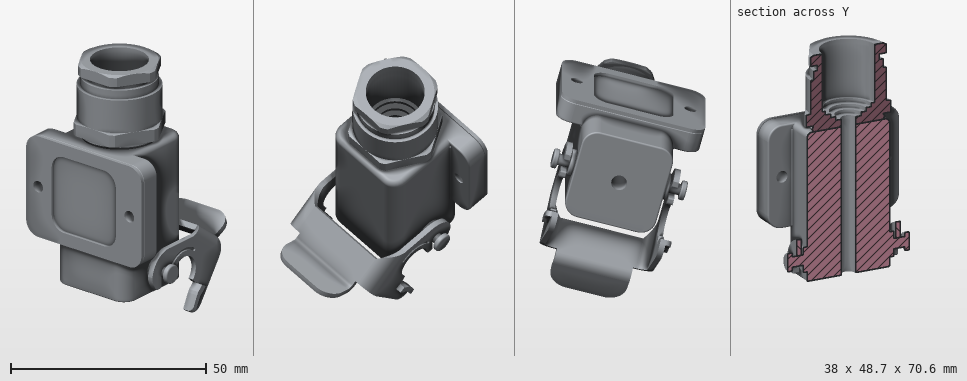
import cadquery as cq
import math


hood_side = 24.0
hood_height = 40.6
corner_radius = 4.0
hood_top_fillet = 1.5
small_fillet = 0.4
cable_bore = 4.0

flange_width = 38.0
flange_height = 28.15
flange_front_y = -8.0
flange_back_y = -13.5
flange_back_chamfer = 0.2
flange_mid_z = hood_height - flange_height / 2
mounting_hole_x = 15.0
mounting_hole = 3.2

gasket_thickness = 1.0
gasket_window = 21.2

pivot_z = 6.1
stud_collar_diameter = 7.0
stud_collar_end = 13.2
stud_neck_diameter = 2.95
stud_head_diameter = 5.1
stud_head_thickness = 1.5
stud_end = 17.65

gland_ring_radius = 10.6
gland_ring_edge_radius = 10.15
body_hex_z = 42.05
sleeve_z = 45.6
collar_z = 54.7
neck_z = 57.1
nut_z = 58.4
gland_top_z = 61.4
body_hex_flats = 22.0
body_hex_corners = 24.55
body_hex_chamfer_height = 0.2
nut_flats = 20.05
nut_corners = 22.0
nut_chamfer_height = 0.5
collar_diameter = 20.2
neck_diameter = 18.05
gland_bore = 15.1
seal_step_diameters = (13.1, 10.1, 7.2)
seal_step_depth = 1.0

sheet = 1.5
lever_width = 30.05
bend_radius = corner_radius
bridge_tilt = 37.0
bridge_back = (24.35, 7.2)
bridge_length = 8.0
bend_edge_rise = 5.4
lever_top_z = 12.15
nose_start_y = 1.5
nose_radius = 5.1
nose_low_angle = 200.0
hook_bottom_z = 2.1
catch_center = (8.0, 3.1)
catch_radius = 4.5
catch_entry_angle = -42.0
hook_corner = 0.85
groove_radius = 6.5
groove_width = 0.8
groove_depth = 0.5
groove_start_angle = 38.0
groove_end_angle = 127.0
grip_width = 20.2
grip_tilt = 24.6
grip_valley_length = 2.1
grip_length = 8.25
grip_bend_radius = 1.5
grip_corner = 5.0
lug_reach = 1.55
lug_corner = 1.5


def cylinder(diameter, z_from, z_to):
    """Upright cylinder on the cable axis."""
    return cq.Workplane("XY").workplane(offset=z_from).circle(diameter / 2).extrude(z_to - z_from)


def rounded_plate(width, height, radius, y_from, y_to):
    """Plate across Y with rounded corners, centred on the flange."""
    return (
        cq.Workplane("XZ", origin=(0, y_from, flange_mid_z))
        .rect(width, height)
        .extrude(y_from - y_to)
        .edges("|Y")
        .fillet(radius)
    )


def mounting_holes(y_from, y_to):
    """Cutter for the two screw holes of the flange."""
    return (
        cq.Workplane("XZ", origin=(0, y_from, flange_mid_z))
        .pushPoints([(-mounting_hole_x, 0), (mounting_hole_x, 0)])
        .circle(mounting_hole / 2)
        .extrude(y_from - y_to)
    )


def make_stud(side):
    """Collar, neck and head of one lever stud; side is -1 or 1."""
    head_start = stud_end - stud_head_thickness

    def disc(diameter, x_from, x_to):
        return (
            cq.Workplane("YZ", origin=(side * x_from, 0, pivot_z))
            .circle(diameter / 2)
            .extrude(side * (x_to - x_from))
        )

    wall = hood_side / 2
    outer_face = ">X" if side > 0 else "<X"
    collar = disc(stud_collar_diameter, wall, stud_collar_end).faces(outer_face).edges().fillet(small_fillet)
    neck = disc(stud_neck_diameter, wall, head_start)
    head = disc(stud_head_diameter, head_start, stud_end).edges().fillet(small_fillet)
    return collar.union(neck).union(head)


def make_inner_fillet(side):
    """Concave fillet strip between the hood wall and the flange front."""
    bottom = hood_height - flange_height + small_fillet
    wall = side * hood_side / 2
    return (
        cq.Workplane("XY", origin=(wall, flange_front_y, bottom))
        .moveTo(side * small_fillet, 0)
        .radiusArc((0, small_fillet), -side * small_fillet)
        .lineTo(-side * small_fillet, small_fillet)
        .lineTo(-side * small_fillet, -small_fillet)
        .lineTo(side * small_fillet, -small_fillet)
        .close()
        .extrude(hood_height - hood_top_fillet - bottom)
    )


def make_hood():
    shell = (
        cq.Workplane("XY")
        .rect(hood_side, hood_side)
        .extrude(hood_height)
        .edges("|Z")
        .fillet(corner_radius)
        .faces("<Z")
        .edges()
        .fillet(small_fillet)
        .faces(">Z")
        .edges()
        .fillet(hood_top_fillet)
    )
    flange = rounded_plate(flange_width, flange_height, corner_radius, flange_front_y, flange_back_y)
    flange = flange.faces(">Y").edges().fillet(small_fillet)
    flange = flange.faces("<Y").edges().chamfer(flange_back_chamfer)
    hood = shell.union(flange)
    hood = hood.cut(mounting_holes(flange_front_y, flange_back_y))
    for side in (-1, 1):
        hood = hood.union(make_inner_fillet(side)).union(make_stud(side))
    return hood.cut(cylinder(cable_bore, 0, hood_height))


def make_gasket():
    back_y = flange_back_y - gasket_thickness
    gasket = rounded_plate(flange_width, flange_height, corner_radius, flange_back_y, back_y)
    window = rounded_plate(gasket_window, gasket_window, corner_radius, flange_back_y, back_y)
    return gasket.cut(window).cut(mounting_holes(flange_back_y, back_y))


def make_hex(flats, corners, z_from, z_to, chamfer_height):
    """Hexagon with turned corners and a conical top chamfer that meets the flats."""
    height = z_to - z_from
    prism = (
        cq.Workplane("XY")
        .workplane(offset=z_from)
        .polygon(6, flats, circumscribed=True)
        .extrude(height)
        .rotate((0, 0, 0), (0, 0, 1), 30)
    )
    turned = (
        cq.Workplane("XZ")
        .moveTo(0, z_from)
        .lineTo(corners / 2, z_from)
        .lineTo(corners / 2, z_to - chamfer_height)
        .lineTo(flats / 2, z_to)
        .lineTo(0, z_to)
        .close()
        .revolve(360, (0, 0, 0), (0, 1, 0))
    )
    return prism.intersect(turned)


def make_gland():
    ring = (
        cq.Workplane("XZ")
        .moveTo(0, hood_height)
        .lineTo(gland_ring_edge_radius, hood_height)
        .lineTo(gland_ring_radius, (hood_height + body_hex_z) / 2)
        .lineTo(gland_ring_edge_radius, body_hex_z)
        .lineTo(0, body_hex_z)
        .close()
        .revolve(360, (0, 0, 0), (0, 1, 0))
    )
    gland = (
        ring.union(make_hex(body_hex_flats, body_hex_corners, body_hex_z, sleeve_z, body_hex_chamfer_height))
        .union(cylinder(body_hex_flats, sleeve_z, collar_z))
        .union(cylinder(collar_diameter, collar_z, neck_z))
        .union(cylinder(neck_diameter, neck_z, nut_z))
        .union(make_hex(nut_flats, nut_corners, nut_z, gland_top_z, nut_chamfer_height))
        .cut(cylinder(cable_bore, hood_height, gland_top_z))
        .cut(cylinder(gland_bore, sleeve_z, gland_top_z))
    )
    for step, diameter in enumerate(seal_step_diameters, start=1):
        gland = gland.cut(cylinder(diameter, sleeve_z - step * seal_step_depth, sleeve_z))
    return gland


tilt = math.radians(bridge_tilt)
bridge_along = (-math.cos(tilt), math.sin(tilt))
bridge_out = (math.sin(tilt), math.cos(tilt))


def bridge_point(along, depth):
    """(Y, Z) of a point that far along the bridge and below its upper face."""
    return tuple(
        bridge_back[i] + along * bridge_along[i] - depth * bridge_out[i] for i in range(2)
    )


def bridge_plane(along):
    """Plane across the bridge: local x is X, local y points out of the upper face."""
    return cq.Plane(
        origin=(0, *bridge_point(along, 0)), xDir=(1, 0, 0), normal=(0, *bridge_along)
    )


def make_channel():
    """Bent sheet of U section, longer and deeper than the lever needs."""
    reach = 42.35
    start = -7.05

    def bar(width, top, radius):
        return (
            cq.Workplane(bridge_plane(start))
            .center(0, top - reach / 2)
            .rect(width, reach)
            .extrude(reach)
            .edges(cq.selectors.ParallelDirSelector(cq.Vector(0, *bridge_along)))
            .fillet(radius)
        )

    outer = bar(lever_width, 0, bend_radius)
    inner = bar(lever_width - 2 * sheet, -sheet, bend_radius - sheet)
    return outer.cut(inner)


cheek_back_corner = (21.9, 2.7)
foot_start = (14.55, -7.75)
foot_bottom = (12.0, -9.2)
catch_step = (12.15, -0.85)
nose_crown = (-2.25, 10.9)

lug_tip_inner = (10.2, -8.7)
lug_tip_outer = (9.1, -7.8)
lug_edge = [(11.1, -3.8), (11.6, -3.0), (12.55, -2.1), (13.1, -1.55)]
lug_back = [(14.55, -2.4), (13.35, -3.7), (12.5, -4.2), (12.1, -4.95)]


def make_cheek_outline():
    """Side outline of the lever, extruded across its whole width."""
    pivot_reach = math.sqrt(nose_radius**2 - (pivot_z - hook_bottom_z) ** 2)
    nose_low = math.radians(nose_low_angle)
    catch_entry = math.radians(catch_entry_angle)
    catch_end_y = catch_center[0] - catch_radius
    catch_start = (
        catch_center[0] + catch_radius * math.cos(catch_entry),
        catch_center[1] + catch_radius * math.sin(catch_entry),
    )
    outline = (
        cq.Workplane("YZ", origin=(-lever_width / 2, 0, 0))
        .moveTo(*bridge_back)
        .lineTo(*cheek_back_corner)
        .lineTo(*foot_start)
        .threePointArc(foot_bottom, lug_tip_inner)
        .lineTo(*lug_tip_outer)
    )
    for point in lug_edge:
        outline = outline.lineTo(*point)
    return (
        outline.lineTo(*catch_step)
        .lineTo(*catch_start)
        .threePointArc(
            (catch_center[0], catch_center[1] + catch_radius), (catch_end_y, catch_center[1])
        )
        .lineTo(catch_end_y, hook_bottom_z + hook_corner)
        .radiusArc((catch_end_y - hook_corner, hook_bottom_z), hook_corner)
        .lineTo(-pivot_reach, hook_bottom_z)
        .threePointArc(
            (nose_radius * math.cos(nose_low), pivot_z + nose_radius * math.sin(nose_low)),
            (-nose_radius, pivot_z),
        )
        .threePointArc(nose_crown, (nose_start_y, lever_top_z))
        .lineTo(bridge_point(bridge_length + bend_edge_rise, bend_radius)[0], lever_top_z)
        .lineTo(*bridge_point(bridge_length + bend_edge_rise / 2, 0))
        .close()
        .extrude(lever_width)
    )


def make_bend_cutter(side):
    """Helical trim: the sheet edge climbs evenly around the bend from bridge to cheek."""
    reach = bend_radius + sheet
    return (
        cq.Workplane(bridge_plane(bridge_length))
        .center(side * (lever_width / 2 - bend_radius), -bend_radius)
        .moveTo(0, 0)
        .lineTo(-side * reach, 0)
        .lineTo(-side * reach, reach)
        .lineTo(0, reach)
        .close()
        .twistExtrude(bend_edge_rise, -side * 90)
    )


def make_bridge_end_cutter():
    """Trims the flat bridge square to its upper face."""
    return (
        cq.Workplane(bridge_plane(bridge_length))
        .center(0, -bend_radius / 2)
        .rect(lever_width - 2 * bend_radius, bend_radius)
        .extrude(2 * bend_edge_rise)
    )


def make_stud_slot():
    """Open slot that lets the hook slide over the stud necks."""
    radius = stud_neck_diameter / 2
    mouth = small_fillet
    return (
        cq.Workplane("YZ", origin=(-lever_width / 2, 0, 0))
        .moveTo(-radius, pivot_z)
        .threePointArc((0, pivot_z + radius), (radius, pivot_z))
        .lineTo(radius, hook_bottom_z + mouth)
        .radiusArc((radius + mouth, hook_bottom_z), -mouth)
        .lineTo(-radius - mouth, hook_bottom_z)
        .radiusArc((-radius, hook_bottom_z + mouth), -mouth)
        .close()
        .extrude(lever_width)
    )


def make_groove(side):
    """Arc groove in the outer face of one cheek, concentric with the catch."""

    def polar(radius, degrees):
        angle = math.radians(degrees)
        return (
            catch_center[0] - radius * math.cos(angle),
            catch_center[1] + radius * math.sin(angle),
        )

    def cap(degrees, outwards):
        overhang = math.degrees(groove_width / 2 / groove_radius)
        return polar(groove_radius, degrees + outwards * overhang)

    inner = groove_radius - groove_width / 2
    outer = groove_radius + groove_width / 2
    middle = (groove_start_angle + groove_end_angle) / 2
    return (
        cq.Workplane("YZ", origin=(side * lever_width / 2, 0, 0))
        .moveTo(*polar(outer, groove_start_angle))
        .threePointArc(polar(outer, middle), polar(outer, groove_end_angle))
        .threePointArc(cap(groove_end_angle, 1), polar(inner, groove_end_angle))
        .threePointArc(polar(inner, middle), polar(inner, groove_start_angle))
        .threePointArc(cap(groove_start_angle, -1), polar(outer, groove_start_angle))
        .close()
        .extrude(-side * groove_depth)
    )


def make_lug(side):
    """Outward lug along the lower front edge of one cheek."""
    tip_direction = cq.Vector(
        0, lug_tip_outer[0] - lug_tip_inner[0], lug_tip_outer[1] - lug_tip_inner[1]
    )
    outer_face = ">X" if side > 0 else "<X"
    return (
        cq.Workplane("YZ", origin=(side * (lever_width / 2 - sheet), 0, 0))
        .polyline([lug_tip_inner, lug_tip_outer, *lug_edge, *lug_back])
        .close()
        .extrude(side * (sheet + lug_reach))
        .faces(outer_face)
        .edges(cq.selectors.ParallelDirSelector(tip_direction, 0.01))
        .fillet(lug_corner)
    )


def make_grip():
    """Finger plate: carries on from the bridge, then bends upwards."""
    grip = math.radians(grip_tilt)
    grip_out = (-math.sin(grip), math.cos(grip))
    valley = bridge_point(-grip_valley_length, 0)
    tip = (valley[0] + grip_length * math.cos(grip), valley[1] + grip_length * math.sin(grip))
    half_bend = (tilt + grip) / 2
    miter = sheet / math.cos(half_bend)
    miter_angle = math.pi / 2 - (tilt - grip) / 2
    valley_below = (
        valley[0] - miter * math.cos(miter_angle),
        valley[1] - miter * math.sin(miter_angle),
    )
    plate = (
        cq.Workplane("YZ", origin=(-grip_width / 2, 0, 0))
        .polyline([
            bridge_point(sheet, 0),
            valley,
            tip,
            (tip[0] - sheet * grip_out[0], tip[1] - sheet * grip_out[1]),
            valley_below,
            bridge_point(sheet, sheet),
        ])
        .close()
        .extrude(grip_width)
    )
    plate = plate.edges(cq.selectors.ParallelDirSelector(cq.Vector(0, *grip_out))).fillet(grip_corner)
    for corner, radius in ((valley, grip_bend_radius), (valley_below, grip_bend_radius + sheet)):
        fold = cq.selectors.NearestToPointSelector((0, *corner))
        plate = plate.edges(fold).fillet(radius)
    return plate


def make_lever():
    lever = make_channel().intersect(make_cheek_outline())
    lever = lever.cut(make_bridge_end_cutter()).cut(make_stud_slot())
    for side in (-1, 1):
        lever = lever.cut(make_bend_cutter(side)).cut(make_groove(side)).union(make_lug(side))
    return lever.union(make_grip())


hood = make_hood()
gasket = make_gasket()
gland = make_gland()
lever = make_lever()

result = cq.Compound.makeCompound(
    [hood.solids().val(), gasket.solids().val(), gland.solids().val(), lever.solids().val()]
)